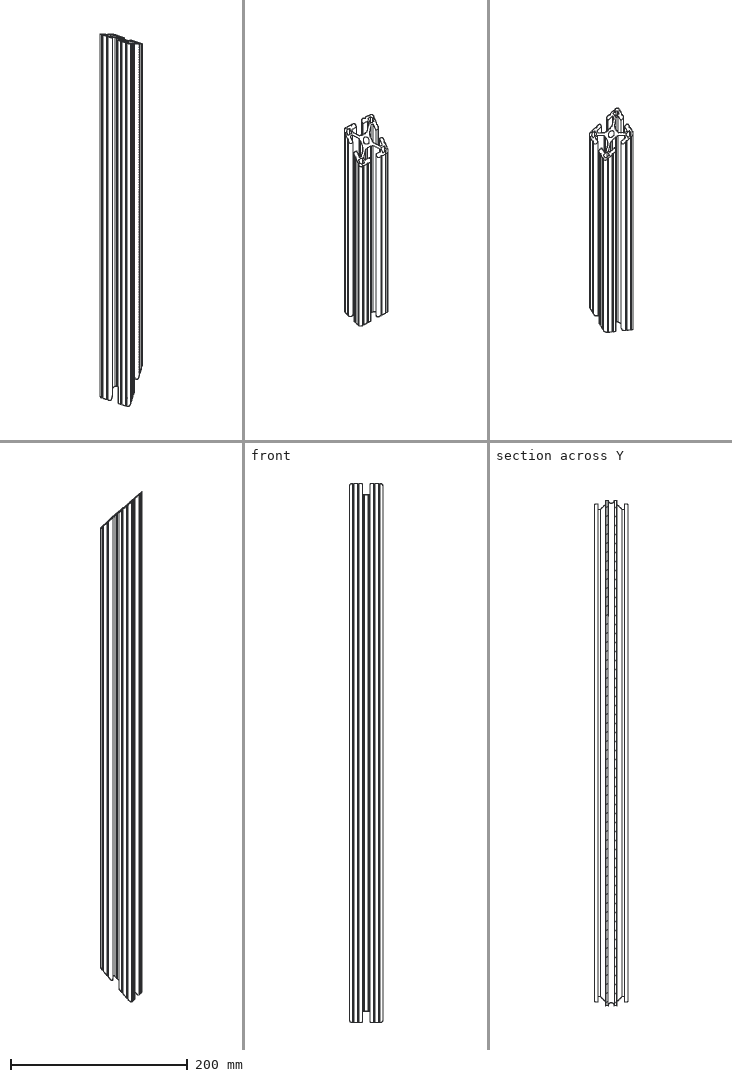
import cadquery as cq

SIDE = 38.1
LENGTH = 609.6
CORNER_RADIUS = 3.2
BORE_DIAMETER = 6.65

SLOT_OPENING = 8.13
LIP_THICKNESS = 4.2
LIP_TIP_RADIUS = 1.9
POCKET_WIDTH = 20.6
FLOOR_HEIGHT = 6.7
WEB_THICKNESS = 2.8

RECESS_TOP_WIDTH = 6.0
RECESS_BOTTOM_WIDTH = 4.4
RECESS_DEPTH = 0.4

GROOVE_POSITIONS = (8.9, 14.9)
GROOVE_WIDTH = 1.8
GROOVE_DEPTH = 0.8

HOLLOW_WALL = 2.2
HOLLOW_SIZE = 4.8
HOLLOW_CHAMFER = 1.5

HALF = SIDE / 2
HALF_LENGTH = LENGTH / 2


def prism(points):
    """Full-length bar with the given closed outline."""
    return cq.Workplane("XY").polyline(points).close().extrude(LENGTH)


def mirrored(points):
    """Complete a half outline with its mirror image across the Y axis."""
    return points + [(-x, y) for x, y in reversed(points)]


def mouth_cutter():
    """Slot mouth in the +Y face, its outer edges rounded."""
    mouth = SLOT_OPENING / 2
    flare = mouth + LIP_TIP_RADIUS
    lip_y = HALF - LIP_THICKNESS
    tangent_y = HALF - LIP_TIP_RADIUS
    arc_inset = LIP_TIP_RADIUS / 2**0.5
    arc_x = flare - arc_inset
    arc_y = tangent_y + arc_inset
    return (
        cq.Workplane("XY")
        .moveTo(-mouth, lip_y)
        .lineTo(mouth, lip_y)
        .lineTo(mouth, tangent_y)
        .threePointArc((arc_x, arc_y), (flare, HALF))
        .lineTo(-flare, HALF)
        .threePointArc((-arc_x, arc_y), (-mouth, tangent_y))
        .close()
        .extrude(LENGTH)
    )


def slot_cutter():
    """T-slot open towards +Y, narrowing inwards along the diagonal webs."""
    pocket = POCKET_WIDTH / 2
    lip_y = HALF - LIP_THICKNESS
    web_offset = WEB_THICKNESS / 2**0.5
    right_side = [
        (RECESS_BOTTOM_WIDTH / 2, FLOOR_HEIGHT - RECESS_DEPTH),
        (RECESS_TOP_WIDTH / 2, FLOOR_HEIGHT),
        (FLOOR_HEIGHT - web_offset, FLOOR_HEIGHT),
        (pocket, pocket + web_offset),
        (pocket, lip_y),
    ]
    pocket_void = prism(mirrored(right_side))
    return pocket_void.union(mouth_cutter())


def groove_cutter(position):
    """V-groove in the +Y face at the given X position."""
    return prism([
        (position - GROOVE_WIDTH / 2, HALF),
        (position, HALF - GROOVE_DEPTH),
        (position + GROOVE_WIDTH / 2, HALF),
    ])


def hollow_cutter():
    """Corner hollow in the +X +Y corner, chamfered towards the outside."""
    centre = HALF - HOLLOW_WALL - HOLLOW_SIZE / 2
    return (
        cq.Workplane("XY")
        .center(centre, centre)
        .rect(HOLLOW_SIZE, HOLLOW_SIZE)
        .extrude(LENGTH)
        .edges("|Z and >X and >Y")
        .chamfer(HOLLOW_CHAMFER)
    )


def quarter_cutters():
    """Everything removed from the +Y face and its +X corner."""
    cutters = [slot_cutter(), hollow_cutter()]
    for direction in (-1, 1):
        for position in GROOVE_POSITIONS:
            cutters.append(groove_cutter(direction * position))
    return cutters


def make_bar():
    """Square-ended bar centred on the origin."""
    bar = cq.Workplane("XY").rect(SIDE, SIDE).extrude(LENGTH).edges("|Z").fillet(CORNER_RADIUS)
    bar = bar.cut(cq.Workplane("XY").circle(BORE_DIAMETER / 2).extrude(LENGTH))
    for quarter in range(4):
        for cutter in quarter_cutters():
            bar = bar.cut(cutter.rotate((0, 0, 0), (0, 0, 1), 90 * quarter))
    return bar.translate((0, 0, -HALF_LENGTH))


def miter_envelope():
    """Trapezoid cutting both ends at 45 degrees, longest on the -Y face."""
    outline = [
        (-HALF, -HALF_LENGTH),
        (HALF, SIDE - HALF_LENGTH),
        (HALF, HALF_LENGTH - SIDE),
        (-HALF, HALF_LENGTH),
    ]
    return cq.Workplane("YZ").polyline(outline).close().extrude(HALF, both=True)


result = make_bar().intersect(miter_envelope())